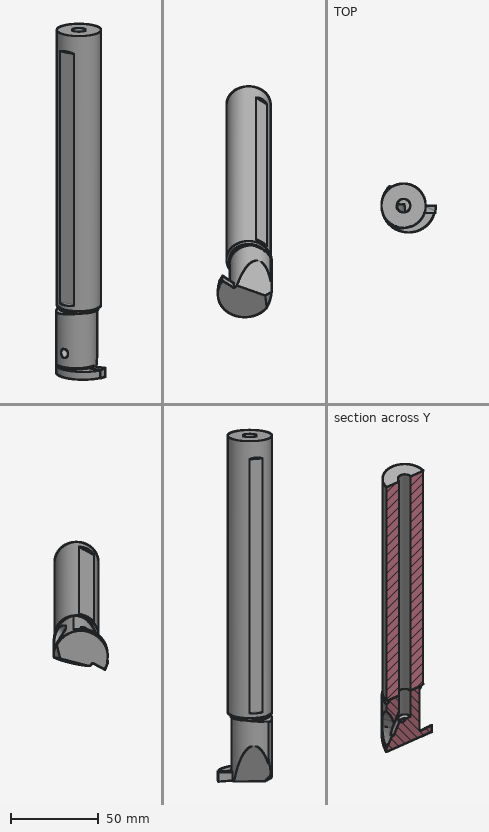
import cadquery as cq
import math

total_length = 203.2
total_width = 31.3

shank_diameter = 25.5
shank_radius = shank_diameter / 2
shank_bottom = 38.8
shank_end_chamfer_height = 0.8
bore_radius = 3.9
flat_bottom = 42.3
flat_top = 193.5
front_flat_depth = 1.0
back_flat_depth = 0.6
flat_top_slope = 1.0

neck_radius = 11.2
neck_bottom = 37.5
shoulder_cone_drop = 1.0
cutting_circle_x = 2.8
cutting_circle_y = 0.1
cutting_circle_radius = 15.5
relief_circle_x = -1.8
relief_circle_y = -0.2
relief_circle_radius = 12.2
relief_start_x = -8.0

foot_height = 4.7
foot_ring_size = 0.6
tip_reach = total_width - shank_radius
tip_width = 4.3
tip_inner_x = 8.1
tip_end_x = 18.0
tip_base_height = 4.9
tip_block_height = 7.1
ramp_point = (12.8, -0.6, tip_base_height)
ramp_normal = (-0.07, -0.15, 1.0)

flute_point = (0, 12.5, 25.0)
flute_normal = (0.25, 1.0, -0.31)

heel_point = (-12.2, 0.8, 0)
heel_normal = (-4.2, 3.8, -5.0)

scoop_y = -0.8
scoop_bottom = 3.7
scoop_top = 31.3
scoop_band_bottom = 14.6
scoop_band_top = 20.1
scoop_floor_x = -7.7
scoop_radius = 8.0
scoop_bulge_radius = 6.0

head_bore_bottom = 19.3
front_port_diameter = 4.7
front_port_x = -1.5
front_port_height = 13.5
front_port_angle = 30
front_port_overshoot = 2.0
scoop_port_radius = 1.52
scoop_port_start = (-2.6, -0.5, 25.5)
scoop_port_end = (-9.1, -0.5, 11.0)

reach = 122.0


def plane_cutter(point, normal):
    """Block lying on the outer side of a plane."""
    return cq.Workplane(cq.Plane(origin=point, normal=normal)).rect(reach, reach).extrude(reach)


def drilled_hole(start, end, radius):
    """Straight round hole from start to end."""
    start_point = cq.Vector(*start)
    axis = cq.Vector(*end) - start_point
    return cq.Workplane(cq.Solid.makeCylinder(radius, axis.Length, start_point, axis))


def clamping_flat(depth, side):
    """Long flat, round at its bottom end and sloped at its top; side is -1 for -Y and +1 for +Y."""
    floor = side * (shank_radius - depth)
    mouth = side * shank_radius
    round_offset = depth * math.sqrt(0.5)
    profile = cq.Workplane("YZ").moveTo(floor, flat_bottom + depth)
    profile = profile.lineTo(floor, flat_top - flat_top_slope).lineTo(mouth, flat_top)
    profile = profile.lineTo(2 * mouth, flat_top).lineTo(2 * mouth, flat_bottom).lineTo(mouth, flat_bottom)
    profile = profile.threePointArc(
        (mouth - side * round_offset, flat_bottom + depth - round_offset),
        (floor, flat_bottom + depth),
    )
    return profile.close().extrude(shank_radius, both=True)


def make_shank():
    shank = cq.Workplane("XY").workplane(offset=shank_bottom).circle(shank_radius)
    shank = shank.extrude(total_length - shank_bottom)
    shank = shank.faces("<Z").chamfer(shank_end_chamfer_height, shank_radius - neck_radius)
    shank = shank.cut(clamping_flat(front_flat_depth, -1))
    shank = shank.cut(clamping_flat(back_flat_depth, 1))
    return shank.faces(">Z").workplane(origin=(0, 0, 0)).circle(bore_radius).cutThruAll()


def disc(x, y, radius, bottom, top):
    return cq.Workplane("XY").workplane(offset=bottom).center(x, y).circle(radius).extrude(top - bottom)


def cutting_disc(top):
    """Eccentric disc whose rim carries the cutting tip."""
    return disc(cutting_circle_x, cutting_circle_y, cutting_circle_radius, 0, top)


def head_column():
    """Column trimmed by the relief circle, under a conical shoulder and a round neck."""
    relief = disc(relief_circle_x, relief_circle_y, relief_circle_radius, 0, neck_bottom)
    untrimmed = cq.Workplane("XY").box(reach, reach, neck_bottom, centered=(True, True, False))
    untrimmed = untrimmed.translate((relief_start_x - reach / 2, 0, 0))
    column = cutting_disc(neck_bottom).intersect(relief.union(untrimmed))

    cone_bottom = neck_bottom - 2 * shoulder_cone_drop
    cone_radius = 2 * shank_radius - neck_radius
    envelope = [(0, 0), (cone_radius, 0), (cone_radius, cone_bottom),
                (neck_radius, neck_bottom), (0, neck_bottom)]
    column = column.intersect(cq.Workplane("XZ").polyline(envelope).close().revolve(360, (0, 0), (0, 1)))
    return column.union(disc(0, 0, neck_radius, neck_bottom, shank_bottom))


def cutting_tip():
    """Tip with an end clearance and a ramp that climbs to the cutting corner."""
    outline = [(tip_inner_x, 0), (tip_reach, 0), (tip_end_x, -tip_width), (tip_inner_x, -tip_width)]
    base = cq.Workplane("XY").polyline(outline).close().extrude(tip_base_height)
    ramp = cq.Workplane("XY").polyline(outline).close().extrude(tip_block_height)
    ramp = ramp.cut(plane_cutter(ramp_point, ramp_normal))
    return base.union(ramp)


def foot():
    """Eccentric plate in front of the rake face, with the tip and the blend around the column."""
    ring = cq.Workplane("XY").workplane(offset=foot_height).center(relief_circle_x, relief_circle_y)
    ring = ring.circle(relief_circle_radius + foot_ring_size).extrude(foot_ring_size, taper=45)
    plate = cutting_disc(foot_height).union(ring.intersect(cutting_disc(neck_bottom)))
    plate = plate.cut(plane_cutter((0, 0, 0), (0, 1, 0)))
    return plate.union(cutting_tip())


def scoop():
    """Barrel-ended hollow turned around a vertical axis outside the left wall."""
    axis_x = scoop_floor_x - scoop_radius
    wall = cutting_circle_x - cutting_circle_radius
    rim = wall - axis_x
    lower_middle = (scoop_bulge_radius, (scoop_bottom + scoop_band_bottom) / 2)
    upper_middle = (scoop_bulge_radius, (scoop_top + scoop_band_top) / 2)
    profile = cq.Workplane("XZ").moveTo(0, scoop_bottom).lineTo(rim, scoop_bottom)
    profile = profile.threePointArc(lower_middle, (scoop_radius, scoop_band_bottom))
    profile = profile.lineTo(scoop_radius, scoop_band_top)
    profile = profile.threePointArc(upper_middle, (rim, scoop_top)).lineTo(0, scoop_top).close()
    return profile.revolve(360, (0, 0), (0, 1)).translate((axis_x, scoop_y, 0))


def front_port():
    """Coolant hole climbing from the front wall into the bore."""
    climb = math.tan(math.radians(front_port_angle))
    wall_y = relief_circle_y - relief_circle_radius
    mouth = (front_port_x, wall_y - front_port_overshoot, front_port_height - climb * front_port_overshoot)
    inner = (front_port_x, 0, front_port_height - climb * wall_y)
    return drilled_hole(mouth, inner, front_port_diameter / 2)


def make_head():
    head = head_column().cut(plane_cutter(flute_point, flute_normal)).union(foot())
    head = head.cut(plane_cutter(heel_point, heel_normal))
    head = head.cut(scoop())
    head = head.cut(disc(0, 0, bore_radius, head_bore_bottom, shank_bottom))
    head = head.cut(front_port())
    return head.cut(drilled_hole(scoop_port_start, scoop_port_end, scoop_port_radius))


shank = make_shank()
head = make_head()
result = cq.Compound.makeCompound([shank.solids().val(), head.solids().val()])